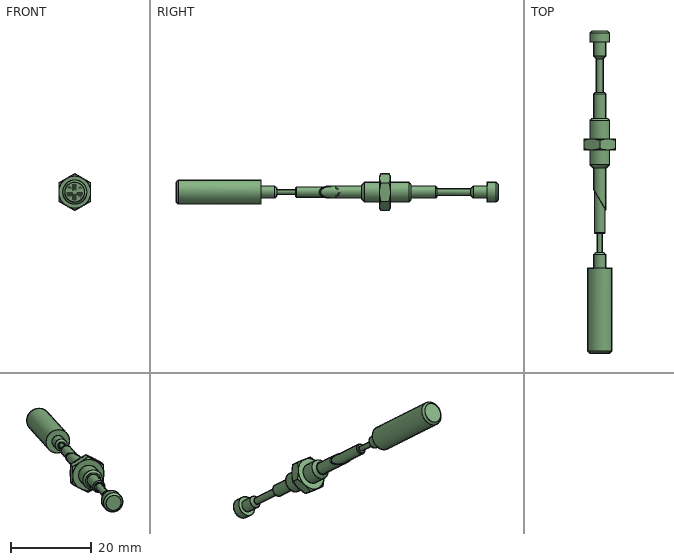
import cadquery as cq
import math

length = 80.5
end_y = length / 2

head_end = 2.8
head_collar_end = 7.0
rod_end = 15.4
sleeve_end = 21.8
nut_start = 27.0
nut_end = 29.7
body_end = 34.2
sleeve_tip_start = 39.6
sleeve_tip_end = 44.8
tube_end = 50.65
wire_end = 55.3
weight_collar_end = 59.25

head_diameter = 5.0
sleeve_diameter = 3.05
rod_diameter = 1.8
tube_diameter = 2.65
wire_diameter = 1.3
weight_diameter = 6.0
nut_across_flats = 8.0

nut_sides = 6

edge_chamfer = 0.6
collar_chamfer = 0.7
body_rear_chamfer = 0.8
sleeve_chamfer = 0.3
tube_chamfer = 0.25
nut_chamfer_angle = math.radians(30)


def cylinder(start, end, diameter, front_chamfer=0, rear_chamfer=0):
    """Round section between two stations, with optional chamfers at its +Y and -Y ends."""
    section = (
        cq.Workplane("XZ", origin=(0, end_y - start, 0))
        .circle(diameter / 2)
        .extrude(end - start)
    )
    if front_chamfer:
        section = section.faces(">Y").chamfer(front_chamfer)
    if rear_chamfer:
        section = section.faces("<Y").chamfer(rear_chamfer)
    return section


def hex_nut():
    """Hexagon with corners on Z, its corners trimmed by a cone at both ends."""
    thickness = nut_end - nut_start
    corner_diameter = nut_across_flats / math.cos(math.pi / nut_sides)
    corner_overhang = (corner_diameter - nut_across_flats) / 2
    trim_depth = corner_overhang * math.tan(nut_chamfer_angle)
    hexagon = (
        cq.Workplane("XZ", origin=(0, end_y - nut_start, 0))
        .polygon(nut_sides, corner_diameter)
        .extrude(thickness)
        .rotate((0, 0, 0), (0, 1, 0), 180 / nut_sides)
    )
    envelope = (
        cq.Workplane("XZ", origin=(0, end_y - nut_start, 0))
        .circle(corner_diameter / 2)
        .extrude(thickness)
        .faces("<Y or >Y")
        .chamfer(trim_depth, corner_overhang)
    )
    return hexagon.intersect(envelope)


def slanted_sleeve():
    """Sleeve whose -Y end is cut off obliquely, reaching furthest on the +X side."""
    radius = sleeve_diameter / 2
    front_y = end_y - rod_end
    keep = (
        cq.Workplane("XY")
        .polyline([
            (-radius, front_y),
            (radius, front_y),
            (radius, end_y - sleeve_tip_end),
            (-radius, end_y - sleeve_tip_start),
        ])
        .close()
        .extrude(radius, both=True)
    )
    return cylinder(rod_end, sleeve_tip_end, sleeve_diameter, sleeve_chamfer).intersect(keep)


sections = [
    cylinder(head_end, head_collar_end, sleeve_diameter, rear_chamfer=collar_chamfer),
    cylinder(head_collar_end, rod_end, rod_diameter),
    slanted_sleeve(),
    cylinder(sleeve_end, body_end, head_diameter, edge_chamfer, body_rear_chamfer),
    hex_nut(),
    cylinder(body_end, tube_end, tube_diameter, rear_chamfer=tube_chamfer),
    cylinder(tube_end, wire_end, wire_diameter),
    cylinder(wire_end, weight_collar_end, sleeve_diameter, edge_chamfer),
    cylinder(weight_collar_end, length, weight_diameter, rear_chamfer=edge_chamfer),
]

result = cylinder(0, head_end, head_diameter, edge_chamfer)
for section in sections:
    result = result.union(section)